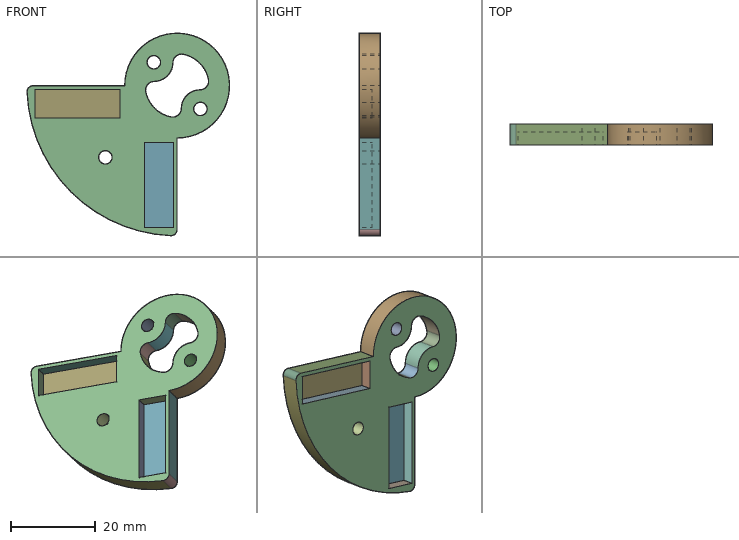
import cadquery as cq
import math

thickness = 5.0
disc_radius = 12.4
overall_width = 47.9
corner_radius = 1.5
hole_diameter = 3.1
disc_hole_offset = 5.5
sector_hole_offset = 16.95
window_radius = 7.5
window_lobe_radius = 4.55
window_corner_radius = 2.0
pocket_length = 20.1
pocket_width = 6.8
pocket_depth = 3.0
pocket_wall = 0.9
pocket_start = 13.45

sector_reach = overall_width - disc_radius
corner_center_distance = math.hypot(sector_reach - corner_radius, corner_radius)
sector_radius = corner_center_distance + corner_radius

disc_holes = [(-disc_hole_offset, disc_hole_offset), (disc_hole_offset, -disc_hole_offset)]
sector_hole = (-sector_hole_offset, -sector_hole_offset)


def front_plane():
    """XZ plane on the front face; extruding by a negative length goes toward +Y."""
    return cq.Workplane("XZ")


def make_sector():
    diagonal = sector_radius * math.sqrt(0.5)
    return (
        front_plane()
        .lineTo(-sector_radius, 0)
        .threePointArc((-diagonal, -diagonal), (0, -sector_radius))
        .close()
        .extrude(-thickness)
        .edges("|Y and (<X or <Z)")
        .fillet(corner_radius)
    )


def make_window():
    """Round opening, pinched by a lobe around each disc hole."""
    lobes = front_plane().pushPoints(disc_holes).circle(window_lobe_radius).extrude(-thickness)
    opening = front_plane().circle(window_radius).extrude(-thickness)
    return opening.cut(lobes).edges("|Y").fillet(window_corner_radius)


def make_pocket(size_x, size_z, center_x, center_z):
    return front_plane().center(center_x, center_z).rect(size_x, size_z).extrude(-pocket_depth)


disc = front_plane().circle(disc_radius).extrude(-thickness)
holes = (
    front_plane()
    .pushPoints(disc_holes + [sector_hole])
    .circle(hole_diameter / 2)
    .extrude(-thickness)
)

along_side = -(pocket_start + pocket_length / 2)
from_side = -(pocket_wall + pocket_width / 2)
upper_pocket = make_pocket(pocket_length, pocket_width, along_side, from_side)
lower_pocket = make_pocket(pocket_width, pocket_length, from_side, along_side)

result = (
    make_sector()
    .union(disc)
    .cut(make_window())
    .cut(holes)
    .cut(upper_pocket)
    .cut(lower_pocket)
)